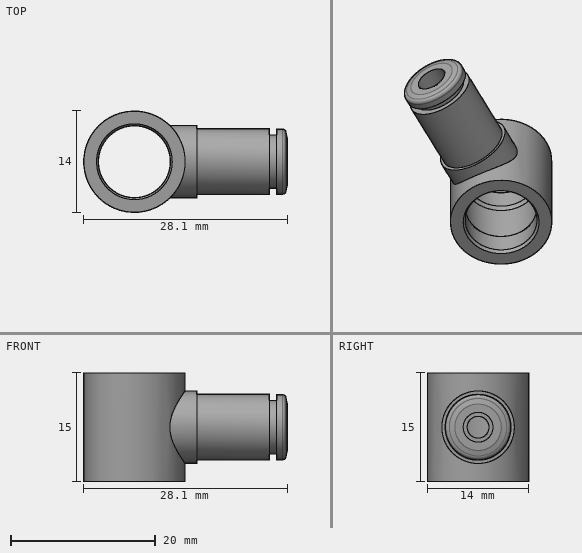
import cadquery as cq

ring_diameter = 14.0
ring_height = 15.0
bore_diameter = 9.9
mouth_diameter = 10.45
mouth_depth = 0.5
chamber_diameter = 10.6
chamber_half_height = 3.18
shoulder_height = 0.55

collar_diameter = 10.0
collar_end = 8.63
sleeve_diameter = 9.1
sleeve_end = 18.63
passage_diameter = 3.0

neck_diameter = 7.4
head_start = 19.6
head_diameter = 9.0
head_round_start = 20.43
head_round_end_diameter = 7.92
head_round_end = 20.93
collet_end = 21.1
end_face_diameter = 6.4
tube_bore_diameter = 4.1


def branch_cylinder(diameter, start, end):
    """Round bar on the X axis between two X positions."""
    return cq.Workplane("YZ").workplane(offset=start).circle(diameter / 2).extrude(end - start)


def make_bore():
    """Through bore with tapered mouths and a wider middle chamber, symmetric about Z = 0."""
    half_height = ring_height / 2
    bore_radius = bore_diameter / 2
    mouth_radius = mouth_diameter / 2
    chamber_radius = chamber_diameter / 2
    land_start = chamber_half_height + shoulder_height
    land_end = half_height - mouth_depth
    return (
        cq.Workplane("XZ")
        .moveTo(0, -half_height)
        .lineTo(mouth_radius, -half_height)
        .lineTo(bore_radius, -land_end)
        .lineTo(bore_radius, -land_start)
        .lineTo(chamber_radius, -chamber_half_height)
        .lineTo(chamber_radius, chamber_half_height)
        .lineTo(bore_radius, land_start)
        .lineTo(bore_radius, land_end)
        .lineTo(mouth_radius, half_height)
        .lineTo(0, half_height)
        .close()
        .revolve(360, (0, 0, 0), (0, 1, 0))
    )


def make_housing():
    """Ring with a collar and sleeve branching off, with a vertical bore and a branch passage."""
    ring = cq.Workplane("XY").circle(ring_diameter / 2).extrude(ring_height / 2, both=True)
    collar = branch_cylinder(collar_diameter, 0, collar_end)
    sleeve = branch_cylinder(sleeve_diameter, 0, sleeve_end)
    passage = branch_cylinder(passage_diameter, 0, sleeve_end)
    return ring.union(collar).union(sleeve).cut(make_bore()).cut(passage)


def make_collet():
    """Neck seated on the sleeve's end face, with a rounded, slightly conical head and a through bore."""
    bore_radius = tube_bore_diameter / 2
    neck_radius = neck_diameter / 2
    head_radius = head_diameter / 2
    round_end_radius = head_round_end_diameter / 2
    return (
        cq.Workplane("XY")
        .moveTo(sleeve_end, bore_radius)
        .lineTo(sleeve_end, neck_radius)
        .lineTo(head_start, neck_radius)
        .lineTo(head_start, head_radius)
        .lineTo(head_round_start, head_radius)
        .tangentArcPoint((head_round_end, round_end_radius), relative=False)
        .lineTo(collet_end, end_face_diameter / 2)
        .lineTo(collet_end, bore_radius)
        .close()
        .revolve(360, (0, 0, 0), (1, 0, 0))
    )


housing = make_housing()
collet = make_collet()
result = cq.Compound.makeCompound([housing.val(), collet.val()])